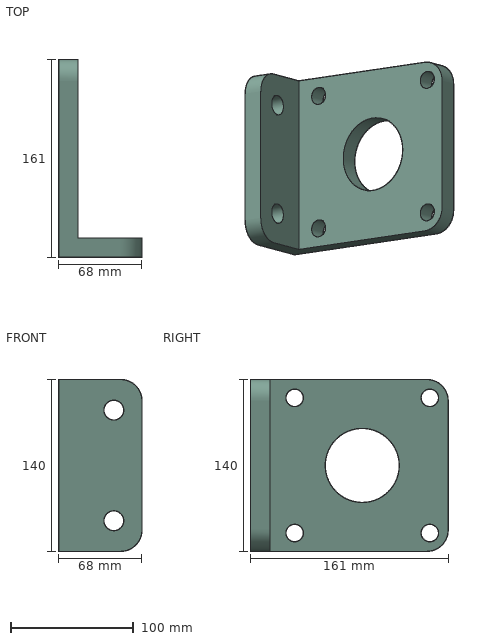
import cadquery as cq

width = 68.0
length = 161.0
height = 140.0
thickness = 16.0
corner_radius = 17.5

bore_diameter = 60.0
plate_hole_diameter = 14.0
plate_hole_spacing = 110.0
bore_y = length - height / 2

flange_hole_diameter = 16.0
flange_hole_spacing = 90.0
flange_hole_x = 44.9

mid_height = height / 2


def main_plate():
    """Plate in the YZ plane, rounded at its free end, with bore and holes."""
    plate = cq.Workplane("XY").box(thickness, length, height, centered=False)
    plate = plate.edges("|X and >Y").fillet(corner_radius)
    center = cq.Workplane("YZ", origin=(0, bore_y, mid_height))
    bore = center.circle(bore_diameter / 2).extrude(thickness)
    holes = (
        center.rect(plate_hole_spacing, plate_hole_spacing, forConstruction=True)
        .vertices()
        .circle(plate_hole_diameter / 2)
        .extrude(thickness)
    )
    return plate.cut(bore).cut(holes)


def foot_flange():
    """Flange in the XZ plane, rounded at its free end, with two holes."""
    flange = cq.Workplane("XY").box(width, thickness, height, centered=False)
    flange = flange.edges("|Y and >X").fillet(corner_radius)
    holes = (
        cq.Workplane("XZ", origin=(flange_hole_x, 0, mid_height))
        .rarray(1.6, flange_hole_spacing, 1, 2)
        .circle(flange_hole_diameter / 2)
        .extrude(-thickness)
    )
    return flange.cut(holes)


result = main_plate().union(foot_flange())